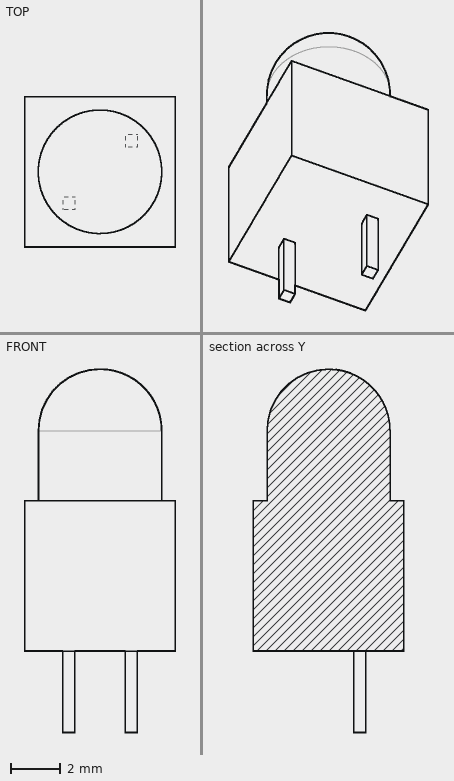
import cadquery as cq

total_height = 14.73
body_side = 6.1
pin_length = 3.3

lens_radius = 2.5
lens_straight_height = total_height - pin_length - body_side - lens_radius

pin_width = 0.5
pin_pitch = 2.53


def make_housing():
    """Cube standing on the plane Z = 0."""
    return cq.Workplane("XY").box(body_side, body_side, body_side, centered=(True, True, False))


def make_lens():
    """Domed lens, revolved about Z and standing on top of the housing."""
    dome_base = body_side + lens_straight_height
    return (
        cq.Workplane("XZ")
        .moveTo(0, body_side)
        .lineTo(lens_radius, body_side)
        .lineTo(lens_radius, dome_base)
        .radiusArc((0, dome_base + lens_radius), -lens_radius)
        .close()
        .revolve(360, (0, 0), (0, 1))
    )


def make_pins():
    """Two pins hanging from the underside, at opposite corners of a square."""
    offset = pin_pitch / 2
    return (
        cq.Workplane("XY")
        .pushPoints([(-offset, -offset), (offset, offset)])
        .rect(pin_width, pin_width)
        .extrude(-pin_length)
    )


result = make_housing().union(make_lens()).union(make_pins())